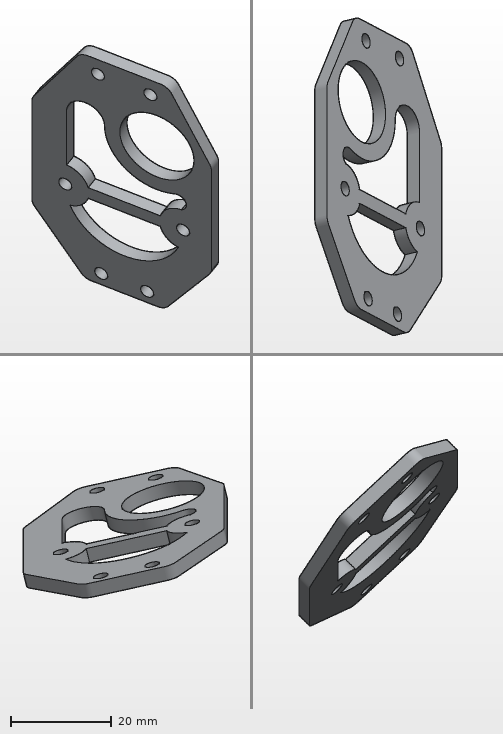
import cadquery as cq
import math

thickness = 3.0

height = 62.0
width = 41.2
left_x = -21.2
right_x = left_x + width
bottom_z = -24.0
top_z = bottom_z + height
corner_radius = 3.0
outline = [
    (-10.0, top_z),
    (10.05, top_z),
    (right_x, 20.35),
    (right_x, -8.75),
    (9.25, bottom_z),
    (-9.0, bottom_z),
    (left_x, -8.7),
    (left_x, 20.3),
]

hole_radius = 1.5
pivot_x = 13.5
boss_radius = 5.45
hole_pairs = [
    (6.0, 34.0),
    (pivot_x, 0),
    (5.3, -20.9),
]

bore_x = 7.5
bore_z = 20.4
bore_radius = 8.5
ring_radius = 12.0

web_half_height = 1.5
window_left_x = -13.2
lower_window_radius = pivot_x
window_top_radius = (bore_x - ring_radius - window_left_x) / 2
window_end_radius = 2.0
window_end_x = 12.3
window_end_z = bore_z - math.sqrt((ring_radius + window_end_radius) ** 2 - (window_end_x - bore_x) ** 2)


def section():
    """Workplane whose local axes are X and Z, extruding toward -Y."""
    return cq.Workplane("XZ")


def disc(x, z, radius):
    return section().center(x, z).circle(radius).extrude(thickness)


def pivot_bosses():
    return disc(-pivot_x, 0, boss_radius).union(disc(pivot_x, 0, boss_radius))


def plate():
    blank = section().polyline(outline).close().extrude(thickness)
    return blank.edges("|Y").fillet(corner_radius)


def upper_window():
    """Opening bounded by the ring, the bosses and the web, with two rounded ends."""
    boundary = [
        (window_left_x, web_half_height),
        (window_left_x, bore_z),
        (bore_x, bore_z),
        (window_end_x, window_end_z),
        (window_end_x, web_half_height),
    ]
    window = section().polyline(boundary).close().extrude(thickness)
    window = window.cut(disc(bore_x, bore_z, ring_radius))
    window = window.union(disc(window_left_x + window_top_radius, bore_z, window_top_radius))
    window = window.union(disc(window_end_x, window_end_z, window_end_radius))
    return window.cut(pivot_bosses())


def lower_window():
    """Circular segment below the web, less the bosses."""
    half_chord = math.sqrt(lower_window_radius**2 - web_half_height**2)
    segment = (
        section()
        .moveTo(-half_chord, -web_half_height)
        .threePointArc((0, -lower_window_radius), (half_chord, -web_half_height))
        .close()
        .extrude(thickness)
    )
    return segment.cut(pivot_bosses())


result = plate().cut(upper_window()).cut(lower_window())
result = result.cut(disc(bore_x, bore_z, bore_radius))
for hole_x, hole_z in hole_pairs:
    for side in (-1, 1):
        result = result.cut(disc(side * hole_x, hole_z, hole_radius))